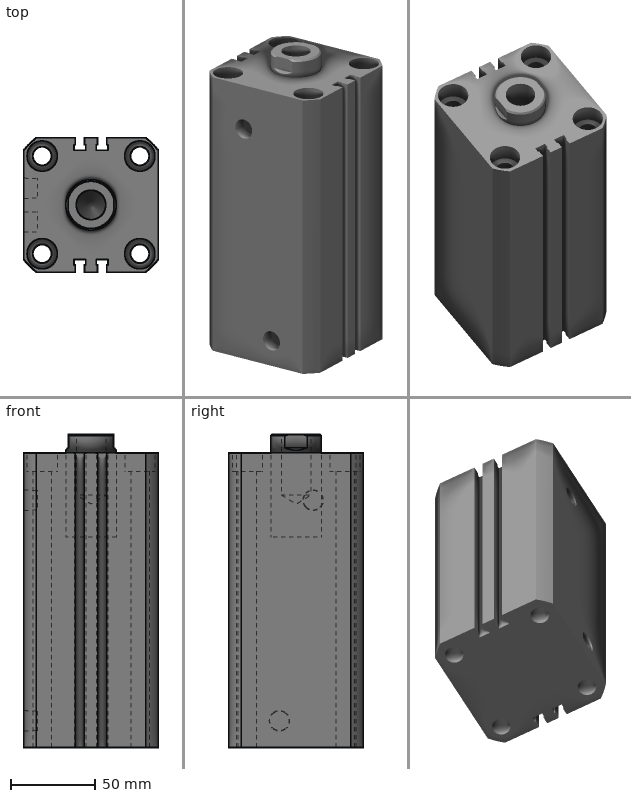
import cadquery as cq
import math

WIDTH = 80.0
HOUSING_HEIGHT = 175.0
CORNER_RADIUS = 51.5

MOUNT_PITCH = 58.0
MOUNT_DIAMETER = 11.0
MOUNT_BORE_DIAMETER = 18.0
MOUNT_BORE_DEPTH = 11.0

SLOT_OFFSET = 6.6
SLOT_MOUTH_WIDTH = 5.4
SLOT_MOUTH_DEPTH = 4.4
SLOT_FOOT_WIDTH = 6.8
SLOT_DEPTH = 7.5

PORT_MOUTH_DIAMETER = 12.1
PORT_TAPER = 1 / 16
PORT_DEPTH = 8.0
PORT_OFFSET = 10.0
PORT_TOP_DISTANCE = 28.0
PORT_BOTTOM_DISTANCE = 16.0

ROD_DIAMETER = 30.0
ROD_PROJECTION = 11.0
ROD_INSERTION = 50.0
ROD_CHAMFER = 1.0
ROD_FLATS_WIDTH = 27.0
ROD_FLATS_START = 3.0
ROD_HOLE_DIAMETER = 17.5
ROD_HOLE_DEPTH = 36.0
DRILL_POINT_ANGLE = 118.0

ROD_TOP = HOUSING_HEIGHT + ROD_PROJECTION
ROD_LENGTH = ROD_PROJECTION + ROD_INSERTION


def cylinder(diameter, bottom, height):
    return cq.Workplane("XY").workplane(offset=bottom).circle(diameter / 2).extrude(height)


def make_block():
    block = cq.Workplane("XY").rect(WIDTH, WIDTH).extrude(HOUSING_HEIGHT)
    return block.intersect(cylinder(2 * CORNER_RADIUS, 0, HOUSING_HEIGHT))


def make_slot(x, side):
    """T-slot along Z, open to the +Y face (side = 1) or the -Y face (side = -1)."""
    face = side * WIDTH / 2
    mouth_end = face - side * SLOT_MOUTH_DEPTH
    floor = face - side * SLOT_DEPTH
    mouth = SLOT_MOUTH_WIDTH / 2
    foot = SLOT_FOOT_WIDTH / 2
    outline = [
        (x - mouth, face),
        (x - mouth, mouth_end),
        (x - foot, mouth_end),
        (x - foot, floor),
        (x + foot, floor),
        (x + foot, mouth_end),
        (x + mouth, mouth_end),
        (x + mouth, face),
    ]
    return cq.Workplane("XY").polyline(outline).close().extrude(HOUSING_HEIGHT)


def make_port(y, z):
    """Blind hole into the -X face, tapering inward like a pipe thread."""
    floor_diameter = PORT_MOUTH_DIAMETER - PORT_TAPER * PORT_DEPTH
    port = cq.Solid.makeCone(
        PORT_MOUTH_DIAMETER / 2,
        floor_diameter / 2,
        PORT_DEPTH,
        pnt=cq.Vector(-WIDTH / 2, y, z),
        dir=cq.Vector(1, 0, 0),
    )
    return cq.Workplane(obj=port)


def make_housing():
    housing = make_block()
    housing = (
        housing.faces(">Z")
        .workplane(origin=(0, 0, HOUSING_HEIGHT))
        .rect(MOUNT_PITCH, MOUNT_PITCH, forConstruction=True)
        .vertices()
        .cboreHole(MOUNT_DIAMETER, MOUNT_BORE_DIAMETER, MOUNT_BORE_DEPTH)
    )
    for side in (-1, 1):
        for x in (-SLOT_OFFSET, SLOT_OFFSET):
            housing = housing.cut(make_slot(x, side))
    housing = housing.cut(make_port(PORT_OFFSET, HOUSING_HEIGHT - PORT_TOP_DISTANCE))
    housing = housing.cut(make_port(-PORT_OFFSET, PORT_BOTTOM_DISTANCE))
    rod_bore = cylinder(ROD_DIAMETER, HOUSING_HEIGHT - ROD_INSERTION, ROD_INSERTION)
    return housing.cut(rod_bore)


def make_rod_hole():
    """Hole with a drill-point end, entered from the top of the rod."""
    hole = cylinder(ROD_HOLE_DIAMETER, ROD_TOP - ROD_HOLE_DEPTH, ROD_HOLE_DEPTH)
    radius = ROD_HOLE_DIAMETER / 2
    point_length = radius / math.tan(math.radians(DRILL_POINT_ANGLE / 2))
    point_start = cq.Vector(0, 0, ROD_TOP - ROD_HOLE_DEPTH)
    point = cq.Solid.makeCone(radius, 0, point_length, pnt=point_start, dir=cq.Vector(0, 0, -1))
    return hole.union(cq.Workplane(obj=point))


def make_rod_flat(side):
    """Wrench flat facing +X (side = 1) or -X (side = -1), with a 45-degree runout below it."""
    flat = side * ROD_FLATS_WIDTH / 2
    outside = side * ROD_DIAMETER / 2
    flat_bottom = HOUSING_HEIGHT + ROD_FLATS_START
    runout = (ROD_DIAMETER - ROD_FLATS_WIDTH) / 2
    profile = [
        (flat, ROD_TOP),
        (flat, flat_bottom),
        (outside, flat_bottom - runout),
        (outside, ROD_TOP),
    ]
    return cq.Workplane("XZ").polyline(profile).close().extrude(ROD_DIAMETER / 2, both=True)


def make_rod():
    rod = cylinder(ROD_DIAMETER, HOUSING_HEIGHT - ROD_INSERTION, ROD_LENGTH)
    rod = rod.faces(">Z").chamfer(ROD_CHAMFER)
    for side in (-1, 1):
        rod = rod.cut(make_rod_flat(side))
    return rod.cut(make_rod_hole())


housing = make_housing()
rod = make_rod()
result = cq.Compound.makeCompound([housing.val(), rod.val()])